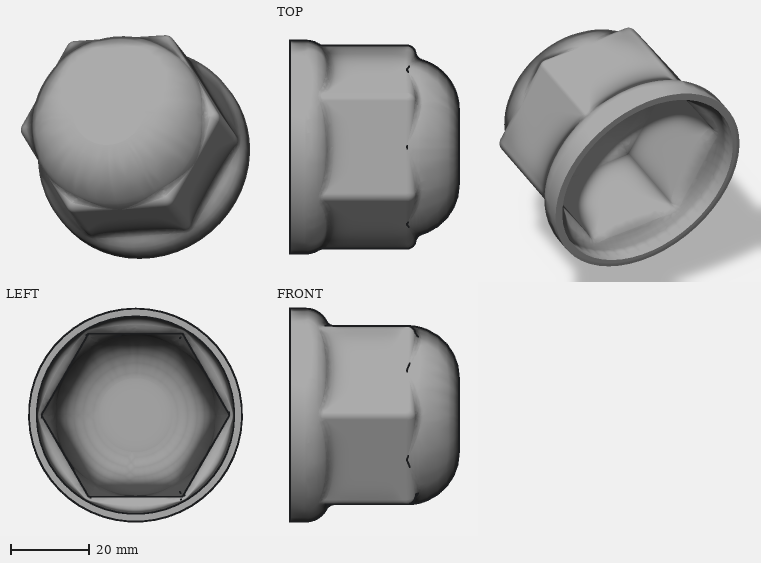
import cadquery as cq
import math

WALL = 2.0
LENGTH = 43.3
FLANGE_RADIUS = 54.6 / 2
RIM_LENGTH = 4.0
FLANGE_ROUND = 6.0
ACROSS_FLATS = 45.7
HEX_SIDES = 6
HEX_ROUND = 2.3
DOME_ROUND = 13.4
FLANGE_BLEND = 2.0
OUTER_DOME_BLEND = 2.1
INNER_DOME_BLEND = 4.0

FLANGE_ARC_RADIUS = FLANGE_RADIUS - FLANGE_ROUND
DOME_ARC_X = LENGTH - DOME_ROUND
DOME_ARC_RADIUS = ACROSS_FLATS / 2 - DOME_ROUND
HEX_END = DOME_ARC_X + HEX_ROUND

OUTER_SKIN = 0
INNER_SKIN = WALL

TOLERANCE = 0.01
EDGE_FRACTIONS = (0.1, 0.5, 0.9)


def flange(inset):
    """Disc ending in a half-round bead; its seam lies on the middle of a flat."""
    radius = FLANGE_RADIUS - inset
    bead = FLANGE_ROUND - inset
    return (
        cq.Workplane("XZ")
        .lineTo(0, radius)
        .lineTo(RIM_LENGTH, radius)
        .threePointArc((RIM_LENGTH + bead, FLANGE_ARC_RADIUS), (RIM_LENGTH, FLANGE_ARC_RADIUS - bead))
        .lineTo(RIM_LENGTH, 0)
        .close()
        .revolve(360, (0, 0, 0), (1, 0, 0))
    )


def hexagon(inset):
    """Hexagonal prism with flats facing +Z and -Z, rounded along its length and at its far end."""
    across_corners = (ACROSS_FLATS - 2 * inset) / math.cos(math.pi / HEX_SIDES)
    rounding = HEX_ROUND - inset
    prism = cq.Workplane("YZ").polygon(HEX_SIDES, across_corners).extrude(HEX_END - inset)
    return prism.edges("|X").fillet(rounding).faces(">X").edges().fillet(rounding)


def dome(inset):
    """Round plug, tangent to the flats, with a large rounding at its far end."""
    plug = cq.Workplane("YZ").circle(ACROSS_FLATS / 2 - inset).extrude(LENGTH - inset)
    return plug.faces(">X").edges().fillet(DOME_ROUND - inset)


def edges_on_rounding(solid, arc_x, arc_radius, rounding, x_end):
    """Edges lying on a rounding about the X axis, with their middle between arc_x and x_end."""

    def on_rounding(point):
        from_axis = math.hypot(point.y, point.z)
        return abs(math.hypot(point.x - arc_x, from_axis - arc_radius) - rounding) < TOLERANCE

    def selected(edge):
        points = [edge.positionAt(fraction) for fraction in EDGE_FRACTIONS]
        middle_x = points[1].x
        within = arc_x + TOLERANCE < middle_x < x_end + TOLERANCE
        return within and all(map(on_rounding, points))

    return solid.edges().filter(selected)


def body(inset):
    """Flange, hexagon and dome in one, with sharp joints between them."""
    return hexagon(inset).union(flange(inset)).union(dome(inset))


def blend_flange(solid, inset):
    """Blend the hexagon into the flange on the skin at depth inset."""
    joint = edges_on_rounding(solid, RIM_LENGTH, FLANGE_ARC_RADIUS, FLANGE_ROUND - inset, DOME_ARC_X)
    return joint.fillet(FLANGE_BLEND + inset)


def blend_dome(solid, inset, blend):
    """Blend the hexagon into the dome on the skin at depth inset."""
    joint = edges_on_rounding(solid, DOME_ARC_X, DOME_ARC_RADIUS, DOME_ROUND - inset, HEX_END - inset)
    return joint.fillet(blend)


cap = body(OUTER_SKIN).cut(body(INNER_SKIN))
cap = blend_flange(cap, OUTER_SKIN)
cap = blend_flange(cap, INNER_SKIN)
cap = blend_dome(cap, INNER_SKIN, INNER_DOME_BLEND)
result = blend_dome(cap, OUTER_SKIN, OUTER_DOME_BLEND)